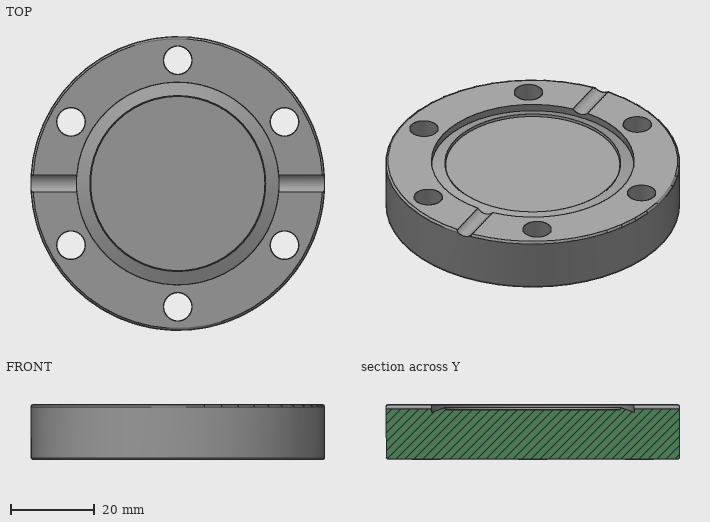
import cadquery as cq
import math

flange_diameter = 70
flange_thickness = 13.0
edge_radius = 0.5

recess_diameter = 48.3
knife_edge_diameter = 41.9
floor_diameter = 41.5
knife_edge_depth = 0.6
knife_slope_angle = 20
floor_depth = 1.2

bolt_count = 6
bolt_circle_diameter = 58.7
bolt_hole_diameter = 6.7
first_bolt_angle = 90

groove_width = 4.0
groove_depth = 0.9


def make_body():
    body = cq.Workplane("XY").circle(flange_diameter / 2).extrude(flange_thickness)
    return body.edges().fillet(edge_radius)


def make_recess():
    """Revolved volume removed between the top face and the sealing surfaces."""
    top = flange_thickness
    recess_radius = recess_diameter / 2
    knife_radius = knife_edge_diameter / 2
    slope_drop = (recess_radius - knife_radius) * math.tan(math.radians(knife_slope_angle))
    knife_z = top - knife_edge_depth
    floor_z = top - floor_depth
    return (
        cq.Workplane("XZ")
        .moveTo(0, top)
        .lineTo(recess_radius, top)
        .lineTo(recess_radius, knife_z - slope_drop)
        .lineTo(knife_radius, knife_z)
        .lineTo(floor_diameter / 2, floor_z)
        .lineTo(0, floor_z)
        .close()
        .revolve(360, (0, 0, 0), (0, 1, 0))
    )


def make_bolt_holes():
    return (
        cq.Workplane("XY")
        .polarArray(bolt_circle_diameter / 2, first_bolt_angle, 360, bolt_count)
        .circle(bolt_hole_diameter / 2)
        .extrude(flange_thickness)
    )


def make_grooves():
    """Two opposite radial grooves that stop at the recess wall."""
    groove_radius = ((groove_width / 2) ** 2 + groove_depth**2) / (2 * groove_depth)
    axis_z = flange_thickness - groove_depth + groove_radius
    bar = (
        cq.Workplane("YZ")
        .center(0, axis_z)
        .circle(groove_radius)
        .extrude(flange_diameter / 2, both=True)
    )
    recess_core = cq.Workplane("XY").circle(recess_diameter / 2).extrude(2 * flange_thickness)
    return bar.cut(recess_core)


result = make_body().cut(make_recess()).cut(make_bolt_holes()).cut(make_grooves())